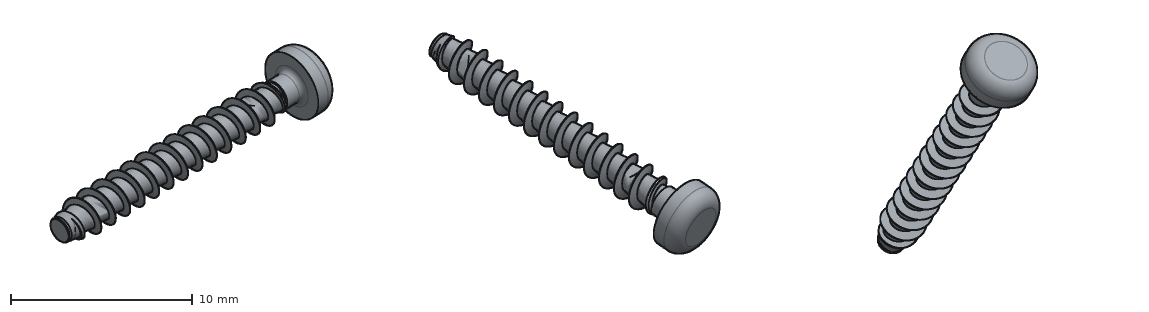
import cadquery as cq
import math

head_radius = 2.1
head_height = 1.6
head_rounding = 0.85

neck_radius = 0.93
neck_length = 1.24
neck_fillet = 0.35

shaft_length = 18.0
core_radius = 0.765
tip_plain_length = 0.2
tip_chamfer = 0.05

pitch = 1.12
crest_radius = 1.27
crest_width = 0.04
flank_half_angle = math.radians(15)
root_radius = 0.88
root_end_radius = core_radius - 0.003
first_crest_y = -1.46
head_end_runout = 1.1
tip_end_runout = 1.5

embed_depth = 0.15
envelope_clearance = 0.1
turn_gap = 0.01


def make_blank():
    """Head, neck and plain core as one turned body about the Y axis."""
    arc_centre_x = head_radius - head_rounding
    arc_centre_y = head_height - head_rounding
    fillet_centre_x = neck_radius + neck_fillet
    diagonal = math.sqrt(0.5)
    return (
        cq.Workplane("XY")
        .moveTo(0, head_height)
        .lineTo(arc_centre_x, head_height)
        .threePointArc(
            (arc_centre_x + head_rounding * diagonal, arc_centre_y + head_rounding * diagonal),
            (head_radius, arc_centre_y),
        )
        .lineTo(head_radius, 0)
        .lineTo(fillet_centre_x, 0)
        .threePointArc(
            (fillet_centre_x - neck_fillet * diagonal, -neck_fillet + neck_fillet * diagonal),
            (neck_radius, -neck_fillet),
        )
        .lineTo(neck_radius, -neck_length)
        .lineTo(core_radius, -neck_length)
        .lineTo(core_radius, -shaft_length + tip_chamfer)
        .lineTo(core_radius - tip_chamfer, -shaft_length)
        .lineTo(0, -shaft_length)
        .close()
        .revolve(360, (0, 0, 0), (0, 1, 0))
    )


def make_thread_envelope():
    """Turned body that bounds the thread and tapers its crest at both ends."""
    thread_end_y = -shaft_length + tip_plain_length
    outer_radius = crest_radius + envelope_clearance
    head_cone = head_end_runout * (outer_radius - neck_radius) / (crest_radius - neck_radius)
    tip_cone = tip_end_runout * (outer_radius - core_radius) / (crest_radius - core_radius)
    return (
        cq.Workplane("XY")
        .moveTo(0, -neck_length)
        .lineTo(neck_radius, -neck_length)
        .lineTo(outer_radius, -neck_length - head_cone)
        .lineTo(outer_radius, thread_end_y + tip_cone)
        .lineTo(core_radius, thread_end_y)
        .lineTo(0, thread_end_y)
        .close()
        .revolve(360, (0, 0, 0), (0, 1, 0))
    )


def make_helical_form():
    """Ridge and sloping root swept along a helix that overruns the thread at both ends."""
    turns_below = math.ceil((shaft_length + first_crest_y) / pitch) + 1
    turns = turns_below + 1
    start_y = first_crest_y - turns_below * pitch

    half_crest = crest_width / 2
    spread = math.tan(flank_half_angle)
    tip_side = -half_crest - (crest_radius - root_radius) * spread
    inner_radius = core_radius - embed_depth
    head_side = half_crest + (crest_radius - root_end_radius) * spread
    root_end = head_side - pitch + turn_gap

    profile = (
        cq.Workplane("XZ")
        .moveTo(inner_radius, head_side)
        .lineTo(root_end_radius, head_side)
        .lineTo(crest_radius, half_crest)
        .lineTo(crest_radius, -half_crest)
        .lineTo(root_radius, tip_side)
        .lineTo(root_end_radius, root_end)
        .lineTo(inner_radius, root_end)
        .close()
    )
    helix = cq.Wire.makeHelix(pitch, turns * pitch, crest_radius)
    form = profile.sweep(cq.Workplane(obj=helix), isFrenet=True)
    return form.rotate((0, 0, 0), (1, 0, 0), -90).translate((0, start_y, 0))


thread = make_helical_form().intersect(make_thread_envelope())
result = make_blank().union(thread)